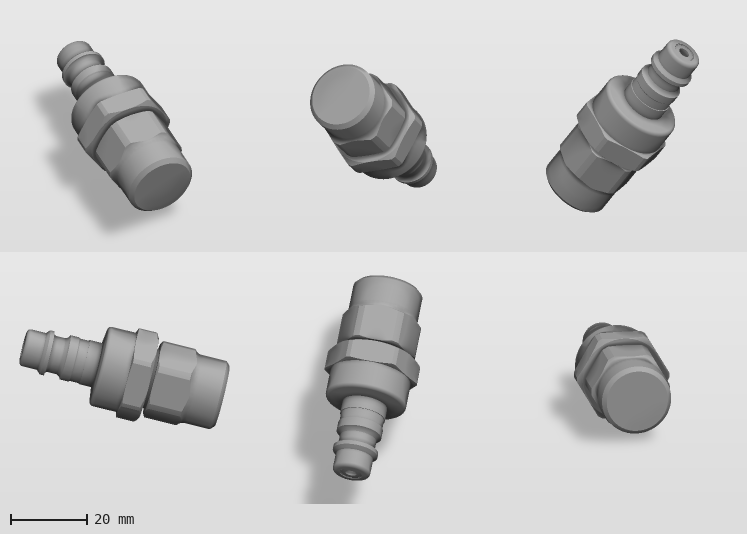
import cadquery as cq
import math

total_length = 54.0
collar_cone_start = 4.95
collar_start = 5.95
collar_end = 7.0
latch_groove_start = 8.0
latch_groove_end = 10.3
barrel_start = 11.45
seal_groove_start = 13.75
seal_groove_end = 16.6
seal_groove_bevel = 0.25
flange_start = 20.0
body_hex_start = 28.0
body_hex_end = 34.0
nut_hex_start = 35.0
nut_hex_bevel_end = 44.15
nut_sleeve_start = 46.05

tip_diameter = 10.0
barrel_diameter = 12.0
latch_groove_diameter = 9.8
latch_flare_radius = 2.15
seal_groove_diameter = 11.5
flange_diameter = 21.5
neck_diameter = 16.0
sleeve_diameter = 18.5
tip_rounding = 1.0
flange_rounding = 0.95
flange_face_rise = 0.55
sleeve_chamfer = 1.1

body_hex_flats = 22.0
body_hex_corners = 24.7
body_hex_front_bevel = 0.3
body_hex_rear_bevel = 0.8
nut_hex_flats = 19.0
nut_hex_corners = 20.95
nut_hex_front_bevel = 0.5

valve_bore_diameter = 6.0
valve_recess = 0.2
valve_seat_diameter = 5.6
valve_diameter = 5.45
valve_gap_depth = 1.1
valve_hole_diameter = 3.0
valve_hole_depth = 5.4


def revolve_about_x(outline):
    return outline.close().revolve(360, (0, 0, 0), (1, 0, 0))


def cylinder_x(start, length, diameter):
    return cq.Workplane("YZ", origin=(start, 0, 0)).circle(diameter / 2).extrude(length)


def hexagon_x(start, length, flats):
    """Hexagonal bar along X with two flats facing +Z and -Z."""
    corner_diameter = flats / math.cos(math.radians(30))
    return cq.Workplane("YZ", origin=(start, 0, 0)).polygon(6, corner_diameter).extrude(length)


def make_plug():
    """Turned plug with its rounded tip, latch collar, seal groove and flange."""
    tip = tip_diameter / 2
    barrel = barrel_diameter / 2
    latch = latch_groove_diameter / 2
    seal = seal_groove_diameter / 2
    flange = flange_diameter / 2
    diagonal = math.sqrt(0.5)
    shoulder = latch_groove_start - collar_end
    shoulder_mid = (latch_groove_start - shoulder * diagonal, latch + shoulder * (1 - diagonal))
    flange_rounding_start = flange_start + flange_face_rise
    flange_rounding_end = flange_rounding_start + flange_rounding
    outline = (
        cq.Workplane("XY")
        .moveTo(0, 0)
        .lineTo(0, tip - tip_rounding)
        .radiusArc((tip_rounding, tip), tip_rounding)
        .lineTo(collar_cone_start, tip)
        .lineTo(collar_start, barrel)
        .lineTo(collar_end, barrel)
        .lineTo(collar_end, latch + shoulder)
        .threePointArc(shoulder_mid, (latch_groove_start, latch))
        .lineTo(latch_groove_end, latch)
        .radiusArc((barrel_start, barrel), -latch_flare_radius)
        .lineTo(seal_groove_start, barrel)
        .lineTo(seal_groove_start + seal_groove_bevel, seal)
        .lineTo(seal_groove_end, seal)
        .lineTo(seal_groove_end, barrel)
        .lineTo(flange_start, barrel)
        .lineTo(flange_rounding_start, flange - flange_rounding)
        .radiusArc((flange_rounding_end, flange), flange_rounding)
        .lineTo(body_hex_start, flange)
        .lineTo(body_hex_start, 0)
    )
    return revolve_about_x(outline)


def make_body_hex():
    """Hexagon bevelled down to the flange at the front and to its inscribed circle at the rear."""
    corner = body_hex_corners / 2
    face = body_hex_flats / 2
    envelope = revolve_about_x(
        cq.Workplane("XY")
        .moveTo(body_hex_start, 0)
        .lineTo(body_hex_start, flange_diameter / 2)
        .lineTo(body_hex_start + body_hex_front_bevel, corner)
        .lineTo(body_hex_end - body_hex_rear_bevel, corner)
        .lineTo(body_hex_end, face)
        .lineTo(body_hex_end, 0)
    )
    return hexagon_x(body_hex_start, body_hex_end - body_hex_start, body_hex_flats).intersect(envelope)


def make_nut():
    """Union nut: hexagon running through a concave flare into a round sleeve."""
    corner = nut_hex_corners / 2
    face = nut_hex_flats / 2
    sleeve = sleeve_diameter / 2
    run = nut_sleeve_start - nut_hex_bevel_end
    rise = corner - sleeve
    flare_radius = (run**2 + rise**2) / (2 * rise)
    envelope = revolve_about_x(
        cq.Workplane("XY")
        .moveTo(nut_hex_start, 0)
        .lineTo(nut_hex_start, face)
        .lineTo(nut_hex_start + nut_hex_front_bevel, corner)
        .lineTo(nut_hex_bevel_end, corner)
        .radiusArc((nut_sleeve_start, sleeve), -flare_radius)
        .lineTo(nut_sleeve_start, 0)
    )
    hexagon = hexagon_x(nut_hex_start, nut_sleeve_start - nut_hex_start, nut_hex_flats)
    sleeve_body = cylinder_x(nut_sleeve_start, total_length - nut_sleeve_start, sleeve_diameter)
    sleeve_body = sleeve_body.faces(">X").chamfer(sleeve_chamfer)
    return hexagon.intersect(envelope).union(sleeve_body)


def make_valve_cut():
    """Shallow recess in front of the valve, a thin gap around it and a blind hole in its centre."""
    recess = cylinder_x(0, valve_recess, valve_bore_diameter)
    gap = cylinder_x(valve_recess, valve_gap_depth, valve_seat_diameter)
    gap = gap.cut(cylinder_x(valve_recess, valve_gap_depth, valve_diameter))
    hole = cylinder_x(valve_recess, valve_hole_depth, valve_hole_diameter)
    return recess.union(gap).union(hole)


neck = cylinder_x(body_hex_end, nut_hex_start - body_hex_end, neck_diameter)
result = make_plug().union(make_body_hex()).union(neck).union(make_nut()).cut(make_valve_cut())